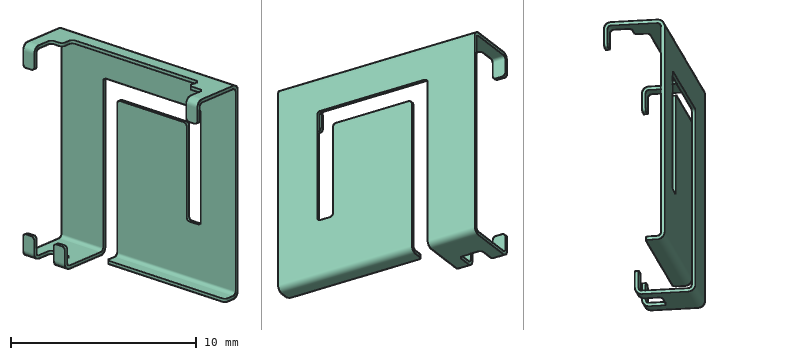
import cadquery as cq

width = 12.5
depth = 3.32
height = 12.42

thickness = 0.2
bend_radius = 0.4
corner_radius = 0.2
overcut = 0.62

foot_width = 0.8
foot_height = 1.38

leg_width = 3.0
slot_width = 1.0
tongue_width = 5.0
slot_top = 10.28
slot_crossbar = 1.02
slot_end = 3.58
tongue_left = leg_width + slot_width
tongue_right = tongue_left + tongue_width
slot_right = tongue_right + slot_width
tongue_top = slot_top - slot_crossbar

top_notch_depth = 1.15
top_step_depth = 1.95
left_shoulder = 1.6
right_shoulder = 1.8
leg_notch_depth = 1.98
short_flange_depth = 1.05

ahead = -overcut
mid_height = height / 2


def from_back(distance):
    """Y of a line lying the given distance in front of the back face."""
    return depth - distance


def box(x0, x1, y0, y1, z0, z1):
    return cq.Workplane("XY").box(x1 - x0, y1 - y0, z1 - z0, centered=False).translate((x0, y0, z0))


def folded_tube():
    """Sheet folded into a closed loop around X, before anything is cut away."""
    section = cq.Workplane("YZ").center(depth / 2, height / 2)
    outer = section.rect(depth, height).extrude(width).edges("|X").fillet(bend_radius)
    inner = section.rect(depth - 2 * thickness, height - 2 * thickness).extrude(width)
    return outer.cut(inner.edges("|X").fillet(bend_radius - thickness))


def hooked_slot():
    """Slot rising beside the leg, crossing over the tongue and running down its right side."""
    outline = [
        (leg_width, -overcut),
        (leg_width, slot_top),
        (slot_right, slot_top),
        (slot_right, slot_end),
        (tongue_right, slot_end),
        (tongue_right, tongue_top),
        (tongue_left, tongue_top),
        (tongue_left, -overcut),
    ]
    slot = cq.Workplane("XZ").polyline(outline).close().extrude(-depth - overcut)
    return slot.edges("|Y").fillet(corner_radius)


def top_notch():
    """Stepped notch that leaves a foot at each end of the top flange."""
    step = from_back(top_step_depth)
    back = from_back(top_notch_depth)
    outline = [
        (foot_width, ahead),
        (foot_width, step),
        (left_shoulder, step),
        (left_shoulder, back),
        (width - right_shoulder, back),
        (width - right_shoulder, step),
        (width - foot_width, step),
        (width - foot_width, ahead),
    ]
    notch = cq.Workplane("XY", origin=(0, 0, mid_height)).polyline(outline).close().extrude(height)
    return notch.edges("|Z").fillet(corner_radius)


def leg_notch():
    """Notch between the two feet below the leg."""
    notch = box(foot_width, leg_width - foot_width, ahead, from_back(leg_notch_depth), -overcut, mid_height)
    return notch.edges("|Z and >Y").fillet(corner_radius)


def front_opening():
    """Space between the upper and lower feet."""
    return box(-overcut, width + overcut, ahead, thickness, foot_height, height - foot_height)


def short_flange_trim():
    """Everything in front of the short flange below the tongue."""
    return box(leg_width, width + overcut, ahead, from_back(short_flange_depth), -overcut, mid_height)


def round_short_flange(body):
    """Round the two front corners of the short flange."""
    edge = from_back(short_flange_depth)
    flange_front = cq.selectors.BoxSelector(
        (leg_width, edge - thickness, -overcut), (width + overcut, edge + thickness, thickness)
    )
    return body.edges(flange_front).edges("|Z").fillet(corner_radius)


def round_foot_tips(body):
    """Round the two corners at the tip of every foot."""
    tips = cq.selectors.BoxSelector(
        (-overcut, ahead, foot_height / 2), (width + overcut, thickness, height - foot_height / 2)
    )
    return body.edges(tips).edges("|Y").fillet(corner_radius)


body = folded_tube()
for cutter in (hooked_slot(), front_opening(), top_notch(), leg_notch(), short_flange_trim()):
    body = body.cut(cutter)

result = round_short_flange(round_foot_tips(body))